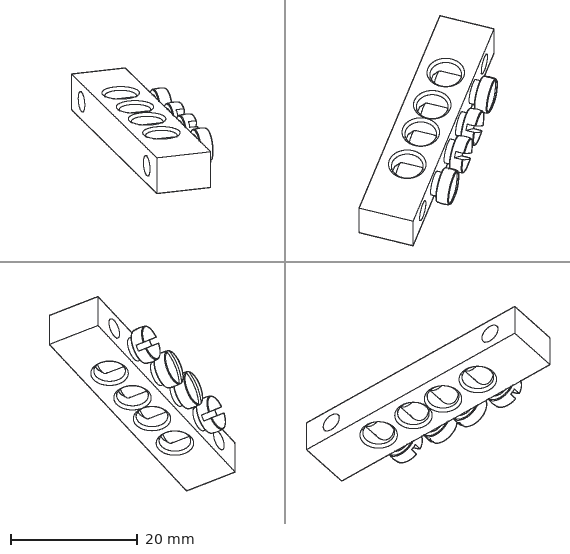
import cadquery as cq
import math

BAR_LENGTH = 42.0
BAR_DEPTH = 9.0
BAR_HEIGHT = 6.0
BACK_Y = BAR_DEPTH / 2

MOUNT_DIAMETER = 3.25
MOUNT_X = 16.0

WIRE_DIAMETER = 5.0
WIRE_RIM_DIAMETER = 5.92
WIRE_RIM_DEPTH = (WIRE_RIM_DIAMETER - WIRE_DIAMETER) / 2
INNER_X = 3.0
OUTER_X = 10.0
SCREWS = [(-OUTER_X, 45), (-INNER_X, -45), (INNER_X, -45), (OUTER_X, 45)]

SHANK_DIAMETER = 3.9
TIP_DIAMETER = 2.4
TIP_END = -6.7
TIP_LENGTH = (SHANK_DIAMETER - TIP_DIAMETER) / 2
HEAD_DIAMETER = 5.8
HEAD_BOTTOM = 1.1
HEAD_TOP = 3.65
DOME_RISE = 0.4
DOME_EDGE = HEAD_TOP - DOME_RISE
HEAD_END_DIAMETER = 5.63
HEAD_CHAMFER = 0.13
SLOT_WIDTH = 1.0
SLOT_FLOOR = 1.85


def make_bar():
    """Rectangular bar with mounting holes, countersunk wire holes and screw bores."""
    bar = cq.Workplane("XY").box(BAR_LENGTH, BAR_DEPTH, BAR_HEIGHT)

    mounts = (
        cq.Workplane("XZ")
        .pushPoints([(-MOUNT_X, 0), (MOUNT_X, 0)])
        .circle(MOUNT_DIAMETER / 2)
        .extrude(BAR_DEPTH, both=True)
    )
    bar = bar.cut(mounts)

    for x, _ in SCREWS:
        bar = bar.cut(make_wire_hole().translate((x, 0, 0)))
        bar = bar.cut(make_screw_bore().translate((x, 0, 0)))
    return bar


def make_wire_hole():
    """Through hole along Z, countersunk on the top and bottom faces."""
    hole_radius = WIRE_DIAMETER / 2
    rim_radius = WIRE_RIM_DIAMETER / 2
    top = BAR_HEIGHT / 2
    neck = top - WIRE_RIM_DEPTH
    outline = [(0, -top), (rim_radius, -top), (hole_radius, -neck)]
    outline += [(hole_radius, neck), (rim_radius, top), (0, top)]
    return cq.Workplane("XZ").polyline(outline).close().revolve(360, (0, 0), (0, 1))


def make_screw_bore():
    """Bore for the shank, from the back face into the wire hole."""
    return cq.Workplane("XZ").circle(SHANK_DIAMETER / 2).extrude(-BACK_Y)


def make_screw(slot_turn):
    """Slotted screw on the Y axis, with a domed barrel head and a tapered tip."""
    shank_radius = SHANK_DIAMETER / 2
    head_end_radius = HEAD_END_DIAMETER / 2
    face_radius = head_end_radius - HEAD_CHAMFER
    barrel_bottom = HEAD_BOTTOM + HEAD_CHAMFER
    barrel_top = DOME_EDGE - HEAD_CHAMFER
    barrel_middle = (barrel_bottom + barrel_top) / 2
    dome_radius = (face_radius**2 + DOME_RISE**2) / (2 * DOME_RISE)
    half_way = face_radius / 2
    dome_mid_height = HEAD_TOP - dome_radius + math.sqrt(dome_radius**2 - half_way**2)

    screw = (
        cq.Workplane("XY", origin=(0, BACK_Y, 0))
        .moveTo(0, TIP_END)
        .lineTo(TIP_DIAMETER / 2, TIP_END)
        .lineTo(shank_radius, TIP_END + TIP_LENGTH)
        .lineTo(shank_radius, HEAD_BOTTOM)
        .lineTo(face_radius, HEAD_BOTTOM)
        .lineTo(head_end_radius, barrel_bottom)
        .threePointArc((HEAD_DIAMETER / 2, barrel_middle), (head_end_radius, barrel_top))
        .lineTo(face_radius, DOME_EDGE)
        .threePointArc((half_way, dome_mid_height), (0, HEAD_TOP))
        .close()
        .revolve(360, (0, 0), (0, 1))
    )
    slot = (
        cq.Workplane("XY")
        .box(2 * HEAD_DIAMETER, HEAD_TOP - SLOT_FLOOR, SLOT_WIDTH)
        .translate((0, BACK_Y + (SLOT_FLOOR + HEAD_TOP) / 2, 0))
        .rotate((0, 0, 0), (0, 1, 0), slot_turn)
    )
    return screw.cut(slot)


bar = make_bar()
screws = [make_screw(turn).translate((x, 0, 0)) for x, turn in SCREWS]

result = cq.Compound.makeCompound([bar.val(), *[screw.val() for screw in screws]])